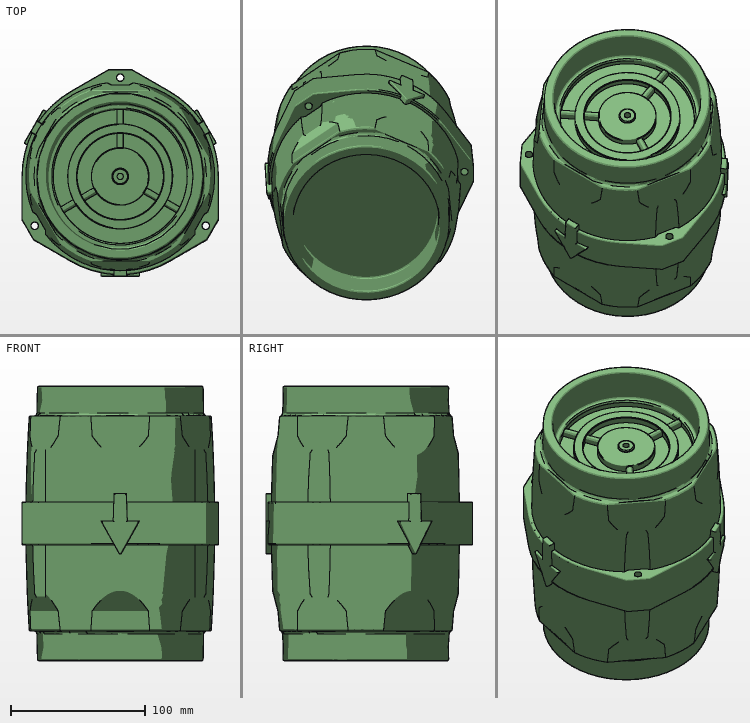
import cadquery as cq
import math

total_height = 205.0
half_height = total_height / 2

neck_base_radius = 62.3
neck_rim_radius = 61.9
neck_rim_fillet = 1.4
neck_flare = 2.0
socket_mouth_radius = 54.8
socket_base_radius = 54.0
socket_depth = 24.5
socket_floor_fillet = 1.4

shoulder_height = 80.3
barrel_end_radius = 68.0
barrel_mid_radius = 70.6
barrel_edge_fillet = 1.5

flat_count = 6
first_flat_angle = 30
flat_top_distance = 64.5
flat_bottom_distance = 65.6
flat_bottom = 65.4
slope_end_radius = 69.6
slope_end_height = 50.3

band_half_height = 16.0
band_radius = 73.34
band_edge_fillet = 1.0
ear_corner_fillet = 1.5
ear_angles = (90, 210, 330)
ear_distance = 79.7
ear_tangent_angle = 30.0
screw_hole_distance = 73.7
screw_hole_diameter = 5.4

groove_distance = 68.4
groove_half_width = 6.8
groove_side_angle = 26.0
groove_corner_fillet = 0.6

arrow_angles = (0, 120, 240)
arrow_distance = 74.59
arrow_root = 69.0
arrow_edge_fillet = 0.8
arrow_tip_fillet = 1.0
arrow_top = 22.3
arrow_tip = -23.8
head_base = 2.0
head_half_width = 14.4
stem_half_width = 5.3
stem_top_half_width = 4.6

insert_level = half_height - socket_depth
pocket_depth = 5.3
insert_edge_fillet = 0.5
hub_radius = 21.5
ring_inner_radius = 32.2
ring_outer_radius = 39.2
ledge_inner_radius = 50.0
ledge_edge_fillet = 1.2
spoke_width = 5.0
spoke_drop = 0.5
spoke_edge_fillet = 2.0
boss_radius = 6.2
boss_height = 1.4
boss_chamfer = 0.8
boss_hole_radius = 2.3
boss_hole_depth = 8.0

cut_margin = 20.0


def cylinder(radius, bottom, top):
    return cq.Workplane("XY").workplane(offset=bottom).circle(radius).extrude(top - bottom)


def turned(solid, angle):
    return solid.rotate((0, 0, 0), (0, 0, 1), angle)


def mirrored(solid):
    return solid.mirror("XY")


def fillet_bend(radius):
    """Distance from a square corner's sides to the middle of its fillet."""
    return radius * (1 - math.sqrt(0.5))


def make_barrel():
    """Solid barrel of revolution, bulging towards the middle."""
    return (
        cq.Workplane("XZ")
        .moveTo(0, -shoulder_height)
        .lineTo(barrel_end_radius, -shoulder_height)
        .threePointArc((barrel_mid_radius, 0), (barrel_end_radius, shoulder_height))
        .lineTo(0, shoulder_height)
        .close()
        .revolve(360, (0, 0, 0), (0, 1, 0))
        .faces("|Z").edges().fillet(barrel_edge_fillet)
    )


def make_neck():
    """Solid upper neck, slightly conical, with a concave flare at the shoulder."""
    bend = fillet_bend(neck_flare)
    return (
        cq.Workplane("XZ")
        .moveTo(0, 0)
        .lineTo(neck_base_radius + neck_flare, 0)
        .lineTo(neck_base_radius + neck_flare, shoulder_height)
        .threePointArc(
            (neck_base_radius + bend, shoulder_height + bend),
            (neck_base_radius, shoulder_height + neck_flare),
        )
        .lineTo(neck_rim_radius, half_height)
        .lineTo(0, half_height)
        .close()
        .revolve(360, (0, 0, 0), (0, 1, 0))
    )


def make_socket():
    """Cutter for the upper socket, slightly conical with a rounded floor corner."""
    return (
        cq.Workplane("XZ")
        .moveTo(0, insert_level)
        .lineTo(socket_base_radius, insert_level)
        .lineTo(socket_mouth_radius, half_height)
        .lineTo(0, half_height)
        .close()
        .revolve(360, (0, 0, 0), (0, 1, 0))
        .faces("<Z").edges().fillet(socket_floor_fillet)
    )


def make_flat_cutter():
    """Cutter facing +X for one upper flat, the slope below it and its rounded top edge."""
    slope = (flat_bottom - slope_end_height) / (slope_end_radius - flat_bottom_distance)
    outside = barrel_mid_radius + cut_margin
    above = shoulder_height + cut_margin
    bend = fillet_bend(barrel_edge_fillet)
    return (
        cq.Workplane("XZ")
        .moveTo(flat_top_distance - barrel_edge_fillet, shoulder_height)
        .threePointArc(
            (flat_top_distance - bend, shoulder_height - bend),
            (flat_top_distance, shoulder_height - barrel_edge_fillet),
        )
        .lineTo(flat_bottom_distance, flat_bottom)
        .lineTo(outside, flat_bottom - slope * (outside - flat_bottom_distance))
        .lineTo(outside, above)
        .lineTo(flat_top_distance - barrel_edge_fillet, above)
        .close()
        .extrude(barrel_mid_radius, both=True)
    )


def make_groove_cutter():
    """Cutter facing +X for one upright groove with flaring sides."""
    outside = barrel_mid_radius + cut_margin
    outside_half_width = (
        groove_half_width + (outside - groove_distance) / math.tan(math.radians(groove_side_angle))
    )
    return (
        cq.Workplane("XY")
        .workplane(offset=-shoulder_height)
        .polyline([
            (groove_distance, -groove_half_width),
            (groove_distance, groove_half_width),
            (outside, outside_half_width),
            (outside, -outside_half_width),
        ])
        .close()
        .extrude(2 * shoulder_height)
        .edges("|Z and <X").fillet(groove_corner_fillet)
    )


def make_band():
    """Round band with three drilled ears whose sides leave the circle along tangents."""
    height = 2 * band_half_height
    tangent_angle = math.radians(ear_tangent_angle)
    tangent_x = band_radius * math.cos(tangent_angle)
    tangent_y = band_radius * math.sin(tangent_angle)
    ear_half_width = (band_radius - ear_distance * math.cos(tangent_angle)) / math.sin(tangent_angle)
    ear = (
        cq.Workplane("XY")
        .workplane(offset=-band_half_height)
        .polyline([
            (0, 0),
            (tangent_x, -tangent_y),
            (ear_distance, -ear_half_width),
            (ear_distance, ear_half_width),
            (tangent_x, tangent_y),
        ])
        .close()
        .extrude(height)
        .edges("|Z and >X").fillet(ear_corner_fillet)
    )
    hole = (
        cylinder(screw_hole_diameter / 2, -band_half_height, band_half_height)
        .translate((screw_hole_distance, 0, 0))
    )
    band = cylinder(band_radius, -band_half_height, band_half_height)
    for angle in ear_angles:
        band = band.union(turned(ear, angle))
    band = band.faces("|Z").edges().fillet(band_edge_fillet)
    for angle in ear_angles:
        band = band.cut(turned(hole, angle))
    return band


def make_arrow():
    """Flat downward arrow standing on the -Y side, with a rounded tip and front edge."""
    return (
        cq.Workplane("XZ")
        .workplane(offset=arrow_root)
        .polyline([
            (0, arrow_tip),
            (head_half_width, head_base),
            (stem_half_width, head_base),
            (stem_top_half_width, arrow_top),
            (-stem_top_half_width, arrow_top),
            (-stem_half_width, head_base),
            (-head_half_width, head_base),
        ])
        .close()
        .extrude(arrow_distance - arrow_root)
        .edges("|Y and <Z").fillet(arrow_tip_fillet)
        .faces("<Y").edges().fillet(arrow_edge_fillet)
    )


def make_ring_pocket(inner, outer, outer_fillet):
    """Cutter for one ring pocket that leaves rounded edges at its mouth."""
    inner_bend = fillet_bend(insert_edge_fillet)
    outer_bend = fillet_bend(outer_fillet)
    floor = insert_level - pocket_depth
    return (
        cq.Workplane("XZ")
        .moveTo(inner, floor)
        .lineTo(inner, insert_level - insert_edge_fillet)
        .threePointArc(
            (inner - inner_bend, insert_level - inner_bend),
            (inner - insert_edge_fillet, insert_level),
        )
        .lineTo(outer + outer_fillet, insert_level)
        .threePointArc(
            (outer + outer_bend, insert_level - outer_bend),
            (outer, insert_level - outer_fillet),
        )
        .lineTo(outer, floor)
        .close()
        .revolve(360, (0, 0, 0), (0, 1, 0))
    )


def make_insert_pockets():
    """Two ring pockets in the socket floor, crossed by three rows of rounded spokes."""
    floor = insert_level - pocket_depth
    pockets = make_ring_pocket(hub_radius, ring_inner_radius, insert_edge_fillet)
    pockets = pockets.union(make_ring_pocket(ring_outer_radius, ledge_inner_radius, ledge_edge_fillet))
    spoke = (
        cq.Workplane("XY")
        .box(ledge_inner_radius, spoke_width, pocket_depth - spoke_drop, centered=(False, True, False))
        .edges("|X and >Z").fillet(spoke_edge_fillet)
        .translate((0, 0, floor))
    )
    for angle in ear_angles:
        pockets = pockets.cut(turned(spoke, angle))
    return pockets


def make_boss():
    """Small chamfered boss on the hub."""
    top = insert_level + boss_height
    return cylinder(boss_radius, insert_level, top).faces(">Z").edges().chamfer(boss_chamfer)


neck = make_neck()
result = make_barrel().union(neck).union(mirrored(neck))

socket = make_socket()
result = result.cut(socket).cut(mirrored(socket))
result = result.faces("<Z or >Z").edges().fillet(neck_rim_fillet)

flat_cutter = make_flat_cutter()
for i in range(flat_count):
    cutter = turned(flat_cutter, first_flat_angle + i * 360 / flat_count)
    result = result.cut(cutter).cut(mirrored(cutter))

groove_cutter = make_groove_cutter()
for angle in ear_angles:
    result = result.cut(turned(groove_cutter, angle))

result = result.union(make_band())
arrow = make_arrow()
for angle in arrow_angles:
    result = result.union(turned(arrow, angle))

result = result.cut(make_insert_pockets()).union(make_boss())
boss_top = insert_level + boss_height
result = result.cut(cylinder(boss_hole_radius, boss_top - boss_hole_depth, boss_top))